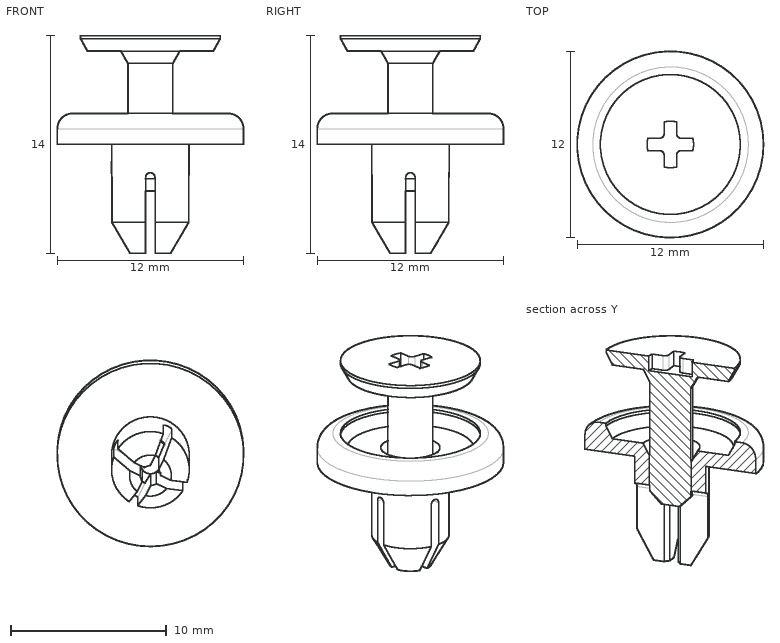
import cadquery as cq


FLANGE_DIAMETER = 12.0
FLANGE_THICKNESS = 2.0
FLANGE_ROUND = 1.0
SLEEVE_DIAMETER = 5.0
SLEEVE_LENGTH = 7.0
NOSE_LENGTH = 2.0
NOSE_TIP_DIAMETER = 2.69
SLOT_WIDTH = 0.6
SLOT_HEIGHT = 5.18

HEAD_DIAMETER = 9.0
HEAD_UNDERSIDE_DIAMETER = 8.12
HEAD_THICKNESS = 1.0
HEAD_RIM_HEIGHT = 0.2
NECK_DIAMETER = 3.81
NECK_HEIGHT = 0.8
SHAFT_DIAMETER = 2.9
TIP_DIAMETER = 1.3
TIP_HEIGHT = 0.8
PIN_TOP = 14.0
PIN_BOTTOM = 4.0

CROSS_SPAN = 3.0
CROSS_ARM_WIDTH = 0.8
CROSS_CORNER_RADIUS = 0.3
CROSS_DEPTH = 1.0

FLANGE_TOP = SLEEVE_LENGTH + FLANGE_THICKNESS


def revolve_outline(outline):
    """Turn a closed outline of (radius, height) about the Z axis."""
    return outline.close().revolve(360, (0, 0, 0), (0, 1, 0))


def pin_blank(top, bottom, end):
    """Pin shape with its head at `top`, a tapered tip down to `bottom`, and a straight end to `end`."""
    head_bottom = top - HEAD_THICKNESS
    points = [
        (0, top),
        (HEAD_DIAMETER / 2, top),
        (HEAD_DIAMETER / 2, top - HEAD_RIM_HEIGHT),
        (HEAD_UNDERSIDE_DIAMETER / 2, head_bottom),
        (NECK_DIAMETER / 2, head_bottom),
        (SHAFT_DIAMETER / 2, head_bottom - NECK_HEIGHT),
        (SHAFT_DIAMETER / 2, bottom + TIP_HEIGHT),
        (TIP_DIAMETER / 2, bottom),
    ]
    if end < bottom:
        points.append((TIP_DIAMETER / 2, end))
    points.append((0, end))
    return revolve_outline(cq.Workplane("XZ").polyline(points))


def cross_recess():
    """Cross-shaped driver pocket with rounded inner corners and arm ends on a circle."""
    start = PIN_TOP - CROSS_DEPTH
    plane = cq.Workplane("XY").workplane(offset=start)
    along_x = plane.rect(2 * CROSS_SPAN, CROSS_ARM_WIDTH).extrude(CROSS_DEPTH)
    along_y = plane.rect(CROSS_ARM_WIDTH, 2 * CROSS_SPAN).extrude(CROSS_DEPTH)
    inner_corners = cq.selectors.BoxSelector(
        (-CROSS_ARM_WIDTH, -CROSS_ARM_WIDTH, start),
        (CROSS_ARM_WIDTH, CROSS_ARM_WIDTH, PIN_TOP),
    )
    cross = along_x.union(along_y).edges("|Z").edges(inner_corners).fillet(CROSS_CORNER_RADIUS)
    return cross.intersect(plane.circle(CROSS_SPAN / 2).extrude(CROSS_DEPTH))


def make_pin():
    return pin_blank(PIN_TOP, PIN_BOTTOM, PIN_BOTTOM).cut(cross_recess())


def grommet_blank():
    """Solid flange with a rounded top edge, above a sleeve that ends in a conical nose."""
    flange_radius = FLANGE_DIAMETER / 2
    outline = (
        cq.Workplane("XZ")
        .moveTo(0, 0)
        .lineTo(NOSE_TIP_DIAMETER / 2, 0)
        .lineTo(SLEEVE_DIAMETER / 2, NOSE_LENGTH)
        .lineTo(SLEEVE_DIAMETER / 2, SLEEVE_LENGTH)
        .lineTo(flange_radius, SLEEVE_LENGTH)
        .lineTo(flange_radius, FLANGE_TOP - FLANGE_ROUND)
        .radiusArc((flange_radius - FLANGE_ROUND, FLANGE_TOP), -FLANGE_ROUND)
        .lineTo(0, FLANGE_TOP)
    )
    return revolve_outline(outline)


def sleeve_slot():
    """Round-topped slot through the whole sleeve along Y, open at the lower end."""
    round_centre = SLOT_HEIGHT - SLOT_WIDTH / 2
    return (
        cq.Workplane("XZ")
        .moveTo(-SLOT_WIDTH / 2, 0)
        .lineTo(SLOT_WIDTH / 2, 0)
        .lineTo(SLOT_WIDTH / 2, round_centre)
        .threePointArc((0, SLOT_HEIGHT), (-SLOT_WIDTH / 2, round_centre))
        .close()
        .extrude(SLEEVE_DIAMETER, both=True)
    )


def make_grommet():
    grommet = grommet_blank().cut(pin_blank(FLANGE_TOP, PIN_BOTTOM, 0))
    for angle in (0, 90):
        grommet = grommet.cut(sleeve_slot().rotate((0, 0, 0), (0, 0, 1), angle))
    return grommet


grommet = make_grommet()
pin = make_pin()

result = cq.Compound.makeCompound([grommet.val(), pin.val()])